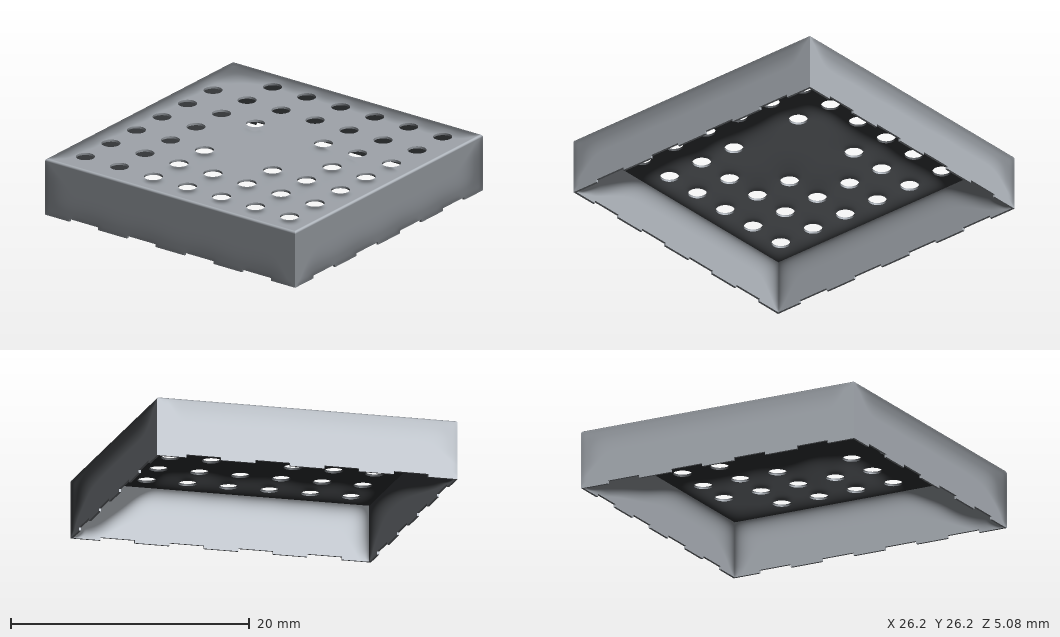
import cadquery as cq

SIDE = 26.2
HEIGHT = 5.08
SHEET_THICKNESS = 0.2
EDGE_RADIUS = SHEET_THICKNESS

HOLES_PER_SIDE = 7
HOLE_PITCH = 3.56
HOLE_DIAMETER = 1.6

NOTCHES_PER_SIDE = 4
NOTCH_WIDTH = 3.01
NOTCH_PITCH = 2 * NOTCH_WIDTH
NOTCH_DEPTH = 0.25


def centred_positions(count, pitch):
    """Evenly spaced coordinates, symmetric about zero."""
    return [(i - (count - 1) / 2) * pitch for i in range(count)]


def has_hole(column, row):
    """The solid centre patch is a plus of five; one corner (-X, +Y) is also left solid."""
    middle = HOLES_PER_SIDE // 2
    in_centre_plus = abs(column - middle) + abs(row - middle) <= 1
    is_blank_corner = column == 0 and row == HOLES_PER_SIDE - 1
    return not in_centre_plus and not is_blank_corner


def make_shell():
    """Square cap with a rounded top edge, open underneath."""
    outer = cq.Workplane("XY").box(SIDE, SIDE, HEIGHT, centered=(True, True, False))
    outer = outer.faces(">Z").fillet(EDGE_RADIUS)
    inner_side = SIDE - 2 * SHEET_THICKNESS
    cavity = cq.Workplane("XY").box(
        inner_side, inner_side, HEIGHT - SHEET_THICKNESS, centered=(True, True, False)
    )
    return outer.cut(cavity)


def make_holes():
    """Vertical cylinders for the vent grid."""
    grid = centred_positions(HOLES_PER_SIDE, HOLE_PITCH)
    centres = [
        (x, y)
        for column, x in enumerate(grid)
        for row, y in enumerate(grid)
        if has_hole(column, row)
    ]
    return cq.Workplane("XY").pushPoints(centres).circle(HOLE_DIAMETER / 2).extrude(HEIGHT)


def make_notches():
    """Full-length bars in both directions, each notching two opposite walls."""
    places = centred_positions(NOTCHES_PER_SIDE, NOTCH_PITCH)
    along_y = (
        cq.Workplane("XY")
        .pushPoints([(p, 0) for p in places])
        .rect(NOTCH_WIDTH, SIDE)
        .extrude(NOTCH_DEPTH)
    )
    along_x = along_y.rotate((0, 0, 0), (0, 0, 1), 90)
    return along_y, along_x


result = make_shell().cut(make_holes())
for notch_bars in make_notches():
    result = result.cut(notch_bars)